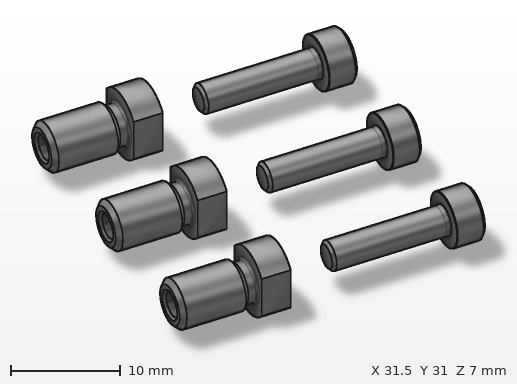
import cadquery as cq
import math

PAIR_COUNT = 3
OVERALL_WIDTH = 31.5
OVERALL_LENGTH = 31.0

HEAD_WIDTH = 5.5
HEAD_LENGTH = 3.0
PITCH = (OVERALL_WIDTH - HEAD_WIDTH) / (PAIR_COUNT - 1)

SHANK_DIAMETER = 3.0
SHANK_LENGTH = 12.0
SHANK_TIP_CHAMFER = 0.3
HEAD_TOP_CHAMFER = 0.3
HEAD_RIM_CHAMFER = 0.05
NECK_BLEND_LENGTH = 0.5
NECK_BLEND_HEIGHT = 0.05

NUT_LENGTH = 11.0
NUT_HEAD_DIAMETER = 7.0
BARREL_DIAMETER = 5.0
BARREL_END_CHAMFER = 0.5
UNDERCUT_DIAMETER = 4.1
UNDERCUT_LENGTH = 1.45
UNDERCUT_FILLET = 0.25
BORE_DIAMETER = 2.45
COUNTERSINK_DIAMETER = 3.0

SCREW_TIP_Y = OVERALL_LENGTH - HEAD_LENGTH - SHANK_LENGTH


def revolve_about_y(profile):
    """Spin a closed half profile, drawn as (radius, y), once around the Y axis."""
    return profile.close().revolve(360, (0, 0, 0), (0, 1, 0))


def make_screw(x):
    shank_radius = SHANK_DIAMETER / 2
    head_radius = HEAD_WIDTH / 2
    underside_y = SCREW_TIP_Y + SHANK_LENGTH
    top_y = underside_y + HEAD_LENGTH

    profile = (
        cq.Workplane("XY")
        .moveTo(0, SCREW_TIP_Y)
        .lineTo(shank_radius - SHANK_TIP_CHAMFER, SCREW_TIP_Y)
        .lineTo(shank_radius, SCREW_TIP_Y + SHANK_TIP_CHAMFER)
        .lineTo(shank_radius, underside_y - NECK_BLEND_LENGTH)
        .tangentArcPoint((shank_radius + NECK_BLEND_HEIGHT, underside_y), relative=False)
        .lineTo(head_radius - HEAD_RIM_CHAMFER, underside_y)
        .lineTo(head_radius, underside_y + HEAD_RIM_CHAMFER)
        .lineTo(head_radius, top_y - HEAD_TOP_CHAMFER)
        .lineTo(head_radius - HEAD_TOP_CHAMFER, top_y)
        .lineTo(0, top_y)
    )
    return revolve_about_y(profile).translate((x, 0, 0))


def make_nut_blank():
    """Round nut with undercut, end chamfer and countersunk through bore."""
    bore_radius = BORE_DIAMETER / 2
    countersink_radius = COUNTERSINK_DIAMETER / 2
    countersink_depth = countersink_radius - bore_radius
    barrel_radius = BARREL_DIAMETER / 2
    undercut_radius = UNDERCUT_DIAMETER / 2
    head_radius = NUT_HEAD_DIAMETER / 2
    underside_y = NUT_LENGTH - HEAD_LENGTH
    barrel_top_y = underside_y - UNDERCUT_LENGTH
    cone_length = barrel_radius - undercut_radius
    fillet_middle = UNDERCUT_FILLET * (1 - math.sqrt(0.5))

    profile = (
        cq.Workplane("XY")
        .moveTo(bore_radius, countersink_depth)
        .lineTo(countersink_radius, 0)
        .lineTo(barrel_radius - BARREL_END_CHAMFER, 0)
        .lineTo(barrel_radius, BARREL_END_CHAMFER)
        .lineTo(barrel_radius, barrel_top_y)
        .lineTo(undercut_radius, barrel_top_y + cone_length)
        .lineTo(undercut_radius, underside_y - UNDERCUT_FILLET)
        .threePointArc(
            (undercut_radius + fillet_middle, underside_y - fillet_middle),
            (undercut_radius + UNDERCUT_FILLET, underside_y),
        )
        .lineTo(head_radius, underside_y)
        .lineTo(head_radius, NUT_LENGTH)
        .lineTo(bore_radius, NUT_LENGTH)
    )
    return revolve_about_y(profile)


def make_nut(x):
    between_flats = cq.Workplane("XY").box(
        HEAD_WIDTH, NUT_LENGTH, NUT_HEAD_DIAMETER, centered=(True, False, True)
    )
    return make_nut_blank().intersect(between_flats).translate((x, 0, 0))


pair_positions = [(i - (PAIR_COUNT - 1) / 2) * PITCH for i in range(PAIR_COUNT)]
screws = [make_screw(x) for x in pair_positions]
nuts = [make_nut(x) for x in pair_positions]

result = cq.Compound.makeCompound([body.val() for body in screws + nuts])